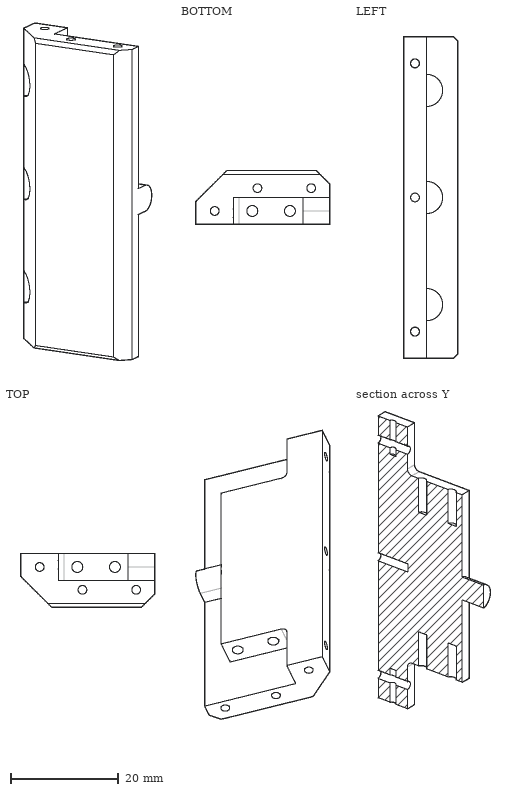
import cadquery as cq
import math

WIDTH = 25.0
DEPTH = 10.1
HEIGHT = 60.0
SIDE_BEVEL = 5.8
FAR_BEVEL = 2.5
END_BEVEL = 0.8
WALL = 7.0
RECESS_DEPTH = 5.05

BLOCK_END = 20.0
BLOCK_HEIGHT = 39.95
WALL_FILLET = 1.1
MID_HEIGHT = HEIGHT / 2
LUG_RADIUS = RECESS_DEPTH / 2

SMALL_DIAMETER = 1.6
BLOCK_HOLE_DIAMETER = 2.05
HOLE_DEPTH = 7.2
BLOCK_HOLES_X = (10.55, 17.6)
END_HOLES = ((3.55, -2.5), (11.5, -6.8), (21.55, -6.8))
SIDE_HOLE_Y = -2.1
SIDE_HOLE_SPACING = 25.0
NOTCH_RADIUS = 3.0
NOTCH_SPACING = 20.0


def vertical_hole(x, y, diameter, z_start, depth):
    return (
        cq.Workplane("XY", origin=(x, y, z_start))
        .circle(diameter / 2)
        .extrude(depth)
    )


def make_body():
    """L-shaped bar with bevelled front corners and bevelled front end edges."""
    bar = (
        cq.Workplane("XY")
        .polyline([
            (0, 0),
            (0, SIDE_BEVEL - DEPTH),
            (SIDE_BEVEL, -DEPTH),
            (WIDTH - FAR_BEVEL, -DEPTH),
            (WIDTH, FAR_BEVEL - DEPTH),
            (WIDTH, -RECESS_DEPTH),
            (WALL, -RECESS_DEPTH),
            (WALL, 0),
        ])
        .close()
        .extrude(HEIGHT)
    )
    end_profile = (
        cq.Workplane("YZ")
        .polyline([
            (0, 0),
            (END_BEVEL - DEPTH, 0),
            (-DEPTH, END_BEVEL),
            (-DEPTH, HEIGHT - END_BEVEL),
            (END_BEVEL - DEPTH, HEIGHT),
            (0, HEIGHT),
        ])
        .close()
        .extrude(WIDTH)
    )
    return bar.intersect(end_profile)


def make_block():
    """Rear block, blended into the wall by concave fillets at both ends, with blind end holes."""
    bottom = MID_HEIGHT - BLOCK_HEIGHT / 2
    top = MID_HEIGHT + BLOCK_HEIGHT / 2
    arc_reach = WALL_FILLET * (1 - math.sqrt(0.5))
    block = (
        cq.Workplane("XZ")
        .moveTo(WALL, bottom - WALL_FILLET)
        .threePointArc((WALL + arc_reach, bottom - arc_reach), (WALL + WALL_FILLET, bottom))
        .lineTo(BLOCK_END, bottom)
        .lineTo(BLOCK_END, top)
        .lineTo(WALL + WALL_FILLET, top)
        .threePointArc((WALL + arc_reach, top + arc_reach), (WALL, top + WALL_FILLET))
        .close()
        .extrude(RECESS_DEPTH)
    )
    for x in BLOCK_HOLES_X:
        for z_start in (bottom, top - HOLE_DEPTH):
            hole = vertical_hole(x, -RECESS_DEPTH / 2, BLOCK_HOLE_DIAMETER, z_start, HOLE_DEPTH)
            block = block.cut(hole)
    return block


def make_lug():
    """Lug beside the block, with a full half-round rear end."""
    return (
        cq.Workplane("YZ", origin=(BLOCK_END, 0, MID_HEIGHT))
        .moveTo(-RECESS_DEPTH, -LUG_RADIUS)
        .lineTo(-LUG_RADIUS, -LUG_RADIUS)
        .threePointArc((0, 0), (-LUG_RADIUS, LUG_RADIUS))
        .lineTo(-RECESS_DEPTH, LUG_RADIUS)
        .close()
        .extrude(WIDTH - BLOCK_END)
    )


def cut_end_holes(part):
    for x, y in END_HOLES:
        for z_start in (0, HEIGHT - HOLE_DEPTH):
            part = part.cut(vertical_hole(x, y, SMALL_DIAMETER, z_start, HOLE_DEPTH))
    return part


def cut_side_holes(part):
    """Holes along X through the side wall."""
    for step in (-1, 0, 1):
        hole = (
            cq.Workplane("YZ", origin=(0, SIDE_HOLE_Y, MID_HEIGHT + step * SIDE_HOLE_SPACING))
            .circle(SMALL_DIAMETER / 2)
            .extrude(WALL)
        )
        part = part.cut(hole)
    return part


def cut_notches(part):
    """Flat-bottomed round seats sunk along Y into the side bevel."""
    for step in (-1, 0, 1):
        notch = (
            cq.Workplane("XZ", origin=(0, SIDE_BEVEL - DEPTH, MID_HEIGHT + step * NOTCH_SPACING))
            .circle(NOTCH_RADIUS)
            .extrude(SIDE_BEVEL)
        )
        part = part.cut(notch)
    return part


body = make_body().union(make_block()).union(make_lug())
result = cut_notches(cut_side_holes(cut_end_holes(body)))